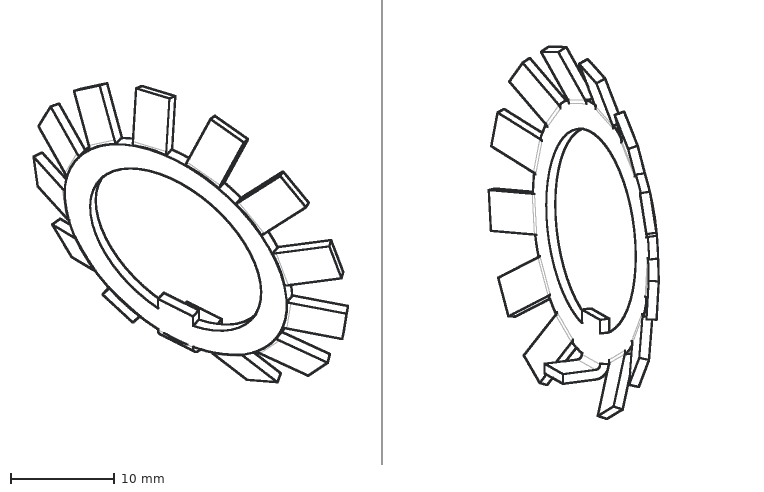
import cadquery as cq
import math

outer_radius = 13.0
inner_radius = 10.0
thickness = 1.0

station_count = 13
tongue_width = 4.03
tongue_tip_radius = 18.2
tongue_tip_depth = 2.5
tongue_angle = math.radians(25)
tongue_root_radius = tongue_tip_radius - tongue_tip_depth / math.tan(tongue_angle)
root_anchor_radius = 12.1
tongue_bend_radius = 1.85

key_width = 4.1
key_tip_radius = 8.43
tab_outer_radius = 14.4
tab_depth = 5.0
bend_outer_radius = 1.45
bend_inner_radius = bend_outer_radius - thickness


def make_ring():
    """Flat annulus extruded toward +Y."""
    return (
        cq.Workplane("XZ")
        .circle(outer_radius)
        .circle(inner_radius)
        .extrude(-thickness)
    )


def bend_point(bend_start, radius, angle):
    """(Y, Z) on a bend arc that leaves the ring plane at bend_start."""
    return (
        tongue_bend_radius - radius * math.cos(angle),
        -bend_start - radius * math.sin(angle),
    )


def make_tongue(turn):
    """Tongue bent backward, turned about Y from the downward direction."""
    back_bend_radius = tongue_bend_radius - thickness
    bend_start = tongue_root_radius - tongue_bend_radius * math.tan(tongue_angle / 2)
    back_tip = (
        tongue_tip_depth + thickness * math.cos(tongue_angle),
        thickness * math.sin(tongue_angle) - tongue_tip_radius,
    )
    tongue = (
        cq.Workplane("YZ")
        .moveTo(0, -root_anchor_radius)
        .lineTo(0, -bend_start)
        .threePointArc(
            bend_point(bend_start, tongue_bend_radius, tongue_angle / 2),
            bend_point(bend_start, tongue_bend_radius, tongue_angle),
        )
        .lineTo(tongue_tip_depth, -tongue_tip_radius)
        .lineTo(*back_tip)
        .lineTo(*bend_point(bend_start, back_bend_radius, tongue_angle))
        .threePointArc(
            bend_point(bend_start, back_bend_radius, tongue_angle / 2),
            (thickness, -bend_start),
        )
        .lineTo(thickness, -root_anchor_radius)
        .close()
        .extrude(tongue_width / 2, both=True)
    )
    return tongue.rotate((0, 0, 0), (0, 1, 0), turn)


def make_key_and_tab():
    """L-shaped strip: key inside the bore, then across the ring and bent back."""
    bend_start = bend_outer_radius - tab_outer_radius
    diagonal = math.sqrt(0.5)
    outer_mid = bend_outer_radius * (1 - diagonal)
    inner_mid = bend_inner_radius * diagonal
    return (
        cq.Workplane("YZ")
        .moveTo(0, -key_tip_radius)
        .lineTo(0, bend_start)
        .threePointArc(
            (outer_mid, outer_mid - tab_outer_radius),
            (bend_outer_radius, -tab_outer_radius),
        )
        .lineTo(tab_depth, -tab_outer_radius)
        .lineTo(tab_depth, thickness - tab_outer_radius)
        .lineTo(bend_outer_radius, thickness - tab_outer_radius)
        .threePointArc(
            (bend_outer_radius - inner_mid, bend_start - inner_mid),
            (thickness, bend_start),
        )
        .lineTo(thickness, -key_tip_radius)
        .close()
        .extrude(key_width / 2, both=True)
    )


result = make_ring().union(make_key_and_tab())
for station in range(1, station_count):
    result = result.union(make_tongue(station * 360 / station_count))